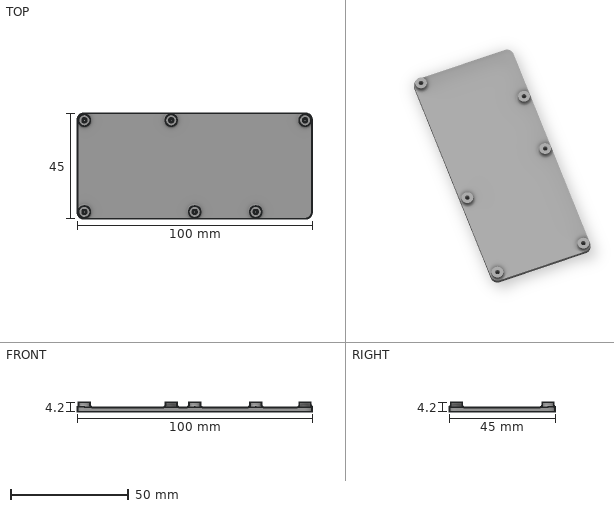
import cadquery as cq
import math

length = 100.0
width = 45.0
plate_thickness = 2.0
corner_radius = 3.0

total_height = 4.2
standoff_radius = 2.5
hole_diameter = 2.0
hole_exit_diameter = 1.2
drill_tip_angle = 118.0
flare_radius = 1.0
edge_inset = 3.0

left_x = edge_inset
right_x = length - edge_inset
back_middle_x = 40.0
front_middle_x = 50.0
front_right_x = 76.0
front_y = edge_inset
back_y = width - edge_inset

standoff_centres = [
    (left_x, front_y),
    (front_middle_x, front_y),
    (front_right_x, front_y),
    (left_x, back_y),
    (back_middle_x, back_y),
    (right_x, back_y),
]


def rounded_slab(height):
    """Slab with the plate's outline, standing on Z = 0."""
    slab = cq.Workplane("XY").box(length, width, height, centered=False)
    return slab.edges("|Z").fillet(corner_radius)


def standoff():
    """Solid post on the Z axis, rooted in the plate, with a flared foot."""
    foot_radius = standoff_radius + flare_radius
    flare_top = plate_thickness + flare_radius
    arc_offset = flare_radius * (1 - 0.5 ** 0.5)
    return (
        cq.Workplane("XZ")
        .lineTo(foot_radius, 0)
        .lineTo(foot_radius, plate_thickness)
        .threePointArc(
            (standoff_radius + arc_offset, plate_thickness + arc_offset),
            (standoff_radius, flare_top),
        )
        .lineTo(standoff_radius, total_height)
        .lineTo(0, total_height)
        .close()
        .revolve(360, (0, 0, 0), (0, 1, 0))
    )


def standoff_hole():
    """Round hole on the Z axis, ending in a cone cut short by the underside."""
    hole_radius = hole_diameter / 2
    exit_radius = hole_exit_diameter / 2
    cone_height = (hole_radius - exit_radius) / math.tan(math.radians(drill_tip_angle / 2))
    return (
        cq.Workplane("XZ")
        .lineTo(exit_radius, 0)
        .lineTo(hole_radius, cone_height)
        .lineTo(hole_radius, total_height)
        .lineTo(0, total_height)
        .close()
        .revolve(360, (0, 0, 0), (0, 1, 0))
    )


plate = rounded_slab(plate_thickness)
for x, y in standoff_centres:
    plate = plate.union(standoff().translate((x, y, 0)))

plate = plate.intersect(rounded_slab(total_height))

result = plate
for x, y in standoff_centres:
    result = result.cut(standoff_hole().translate((x, y, 0)))